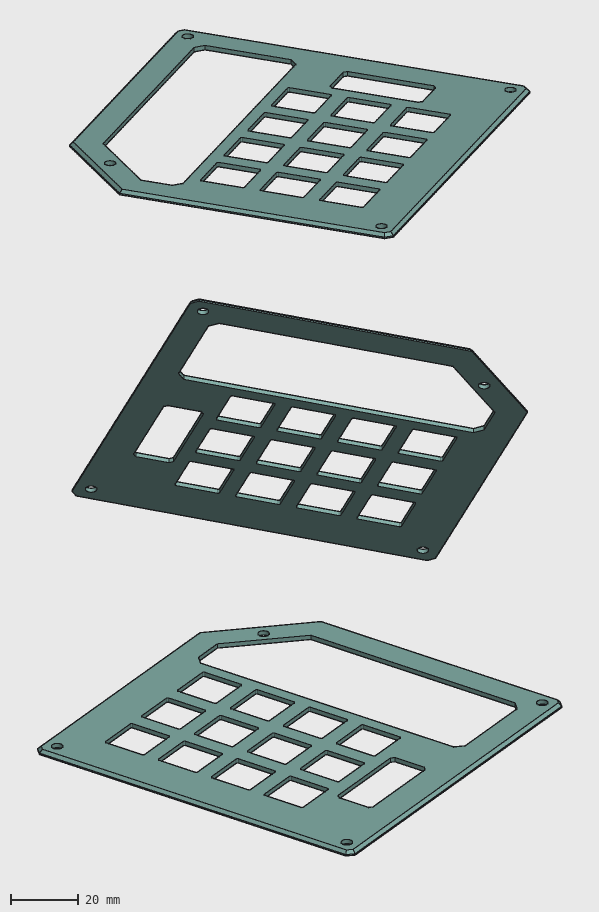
import cadquery as cq

width = 113.25
depth = 114.25
thickness = 1.5
bevel = 1.0
corner_chamfer = 2.0
corner_cut = 26.45

hole_diameter = 3.4
hole_inset = 5.0
cut_hole = (-39.9, -40.2)

window_left = -46.95
window_width = 32.5
window_depth = 96.0
window_cut = 20.0
window_chamfer = 2.5

keypad_x = 15.575
display_y = 40.1
display_width = 29.6
display_depth = 12.5
display_chamfer = 1.0

keypad_y = -6.25
key_size = 14.0
key_pitch = 19.05
key_columns = 3
key_rows = 4
key_radius = 0.5


def cut_corner_slab(left, slab_width, slab_depth, cut, chamfer):
    """Slab with a large cut at its front left corner and chamfers on the other three."""
    right = left + slab_width
    front = -slab_depth / 2
    back = slab_depth / 2
    return (
        cq.Workplane("XY")
        .moveTo(left + cut, front)
        .lineTo(right, front)
        .lineTo(right, back)
        .lineTo(left, back)
        .lineTo(left, front + cut)
        .close()
        .extrude(thickness)
        .edges("|Z and (>X or >Y)")
        .chamfer(chamfer)
    )


def plate():
    slab = cut_corner_slab(-width / 2, width, depth, corner_cut, corner_chamfer)
    return slab.faces(">Z").edges().chamfer(bevel)


def window():
    return cut_corner_slab(window_left, window_width, window_depth, window_cut, window_chamfer)


def display_opening():
    return (
        cq.Workplane("XY")
        .center(keypad_x, display_y)
        .rect(display_width, display_depth)
        .extrude(thickness)
        .edges("|Z")
        .chamfer(display_chamfer)
    )


def key_openings():
    return (
        cq.Workplane("XY")
        .center(keypad_x, keypad_y)
        .rarray(key_pitch, key_pitch, key_columns, key_rows)
        .rect(key_size, key_size)
        .extrude(thickness)
        .edges("|Z")
        .fillet(key_radius)
    )


def screw_holes():
    x = width / 2 - hole_inset
    y = depth / 2 - hole_inset
    centers = [(-x, y), (x, y), (x, -y), cut_hole]
    return cq.Workplane("XY").pushPoints(centers).circle(hole_diameter / 2).extrude(thickness)


result = (
    plate()
    .cut(window())
    .cut(display_opening())
    .cut(key_openings())
    .cut(screw_holes())
)